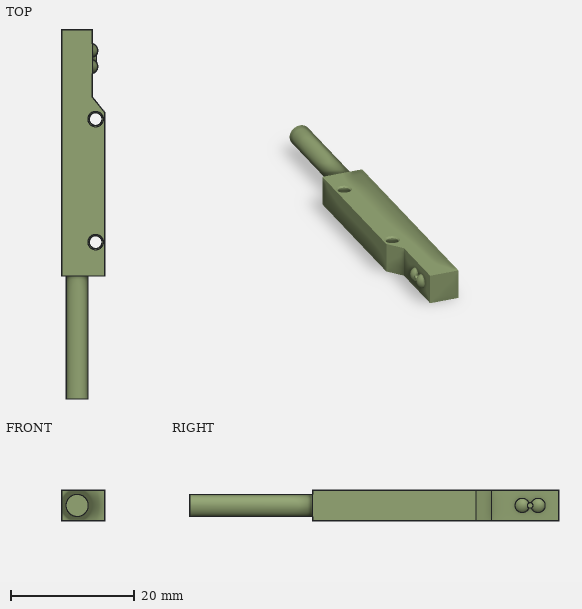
import cadquery as cq

total_length = 60.0
body_length = 40.0
body_width = 7.0
body_height = 5.0
cable_length = total_length - body_length

narrow_width = 5.0
narrow_length = 10.9
step_length = 2.5

cable_diameter = 3.6
cable_x = 2.5

hole_diameter = 2.05
countersink_diameter = 2.5
countersink_depth = (countersink_diameter - hole_diameter) / 2
hole_x = 5.5
hole_pitch = 20.0
front_hole_y = 5.5

dome_height = 0.9
dome_radius = 1.2
dome_pitch = 2.6
domes_from_end = 4.7
button_diameter = 0.9
button_height = 0.7

mid_height = body_height / 2
hole_places = [(hole_x, front_hole_y), (hole_x, front_hole_y + hole_pitch)]
dome_middle_y = body_length - domes_from_end


def make_body():
    """Rectangular bar narrowed at the rear; its front face lies at y = 0."""
    narrow_start = body_length - narrow_length
    outline = [
        (0, 0),
        (body_width, 0),
        (body_width, narrow_start - step_length),
        (narrow_width, narrow_start),
        (narrow_width, body_length),
        (0, body_length),
    ]
    return cq.Workplane("XY").polyline(outline).close().extrude(body_height)


def make_cable():
    return (
        cq.Workplane("XZ")
        .center(cable_x, mid_height)
        .circle(cable_diameter / 2)
        .extrude(cable_length)
    )


def cut_mounting_holes(body):
    drilled = (
        body.faces(">Z")
        .workplane(origin=(0, 0, body_height))
        .pushPoints(hole_places)
        .hole(hole_diameter)
    )
    hole_edges = cq.selectors.RadiusNthSelector(0)
    return drilled.faces("<Z or >Z").edges(hole_edges).chamfer(countersink_depth)


def make_dome(y):
    """Sphere sunk into the side face so that only the cap stands out."""
    center = (narrow_width + dome_height - dome_radius, y, mid_height)
    return cq.Workplane("XY").sphere(dome_radius).translate(center)


def make_button():
    return (
        cq.Workplane("YZ", origin=(narrow_width, dome_middle_y, mid_height))
        .circle(button_diameter / 2)
        .extrude(button_height)
    )


result = cut_mounting_holes(make_body()).union(make_cable()).union(make_button())
for side in (-1, 1):
    result = result.union(make_dome(dome_middle_y + side * dome_pitch / 2))